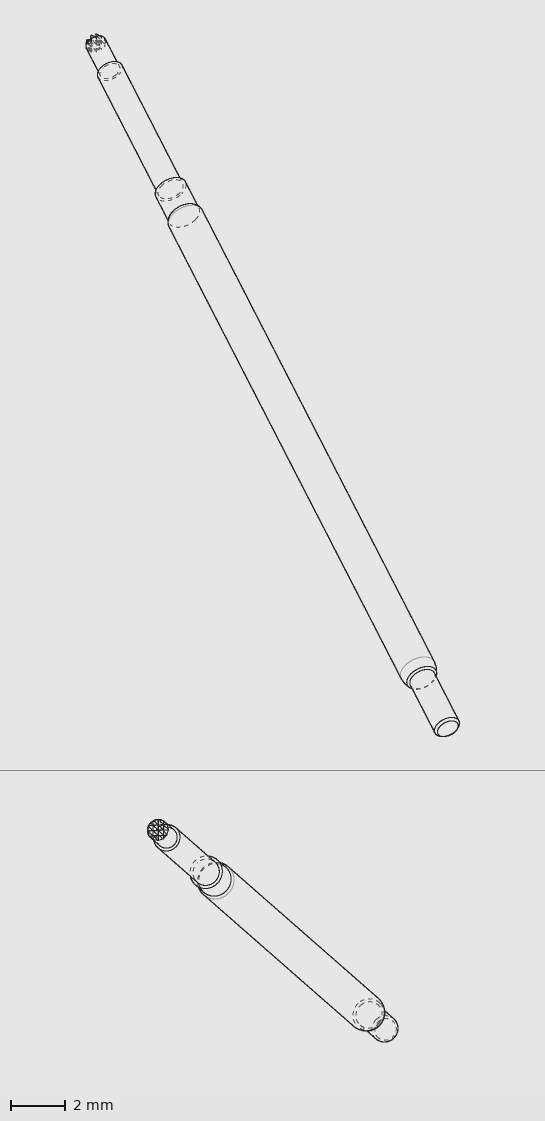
import cadquery as cq
import math

total_length = 35.81
barrel_diameter = 1.37

tip_diameter = 0.78
plunger_diameter = 0.99
collar_diameter = 1.22
tail_diameter = 0.99

tip_length = 1.66
plunger_length = 6.14
collar_length = 1.36
tail_length = 2.58
barrel_length = total_length - tip_length - plunger_length - collar_length - tail_length

tip_cone_length = 0.24
tip_end_diameter = 0.56
crown_groove_count = 3
crown_groove_pitch = 0.20
crown_groove_depth = 0.32
crown_groove_angle = 30

barrel_front_radius = 0.20
barrel_rear_radius = 0.90
barrel_shoulder_diameter = 1.18
barrel_shoulder_length = 0.06
tail_chamfer = 0.09

tip_start = -total_length / 2
plunger_start = tip_start + tip_length
collar_start = plunger_start + plunger_length
barrel_start = collar_start + collar_length
tail_start = barrel_start + barrel_length
tail_end = tail_start + tail_length

tip_radius = tip_diameter / 2
plunger_radius = plunger_diameter / 2
collar_radius = collar_diameter / 2
barrel_radius = barrel_diameter / 2
tail_radius = tail_diameter / 2


def arc_reach(radius, drop):
    """Axial length of an arc, tangent to the barrel, that falls by the given drop."""
    return math.sqrt(radius**2 - (radius - drop) ** 2)


def rounded_end_points(flat_end, direction, radius, drop):
    """Middle and end points of the arc that leaves the barrel surface at flat_end."""
    sweep = math.asin(arc_reach(radius, drop) / radius)
    centre_height = barrel_radius - radius
    return [
        (
            flat_end + direction * radius * math.sin(angle),
            centre_height + radius * math.cos(angle),
        )
        for angle in (sweep / 2, sweep)
    ]


def make_turned_body():
    """Revolve the stepped half-profile about the X axis."""
    front_drop = barrel_radius - collar_radius
    front_flat = barrel_start + arc_reach(barrel_front_radius, front_drop)
    front_middle, front_edge = rounded_end_points(front_flat, -1, barrel_front_radius, front_drop)

    rear_drop = barrel_radius - barrel_shoulder_diameter / 2
    shoulder_start = tail_start - barrel_shoulder_length
    rear_flat = shoulder_start - arc_reach(barrel_rear_radius, rear_drop)
    rear_middle, rear_edge = rounded_end_points(rear_flat, 1, barrel_rear_radius, rear_drop)

    profile = (
        cq.Workplane("XZ")
        .moveTo(tip_start, 0)
        .lineTo(tip_start, tip_end_diameter / 2)
        .lineTo(tip_start + tip_cone_length, tip_radius)
        .lineTo(plunger_start, tip_radius)
        .lineTo(plunger_start, plunger_radius)
        .lineTo(collar_start, plunger_radius)
        .lineTo(collar_start, collar_radius)
        .lineTo(*front_edge)
        .threePointArc(front_middle, (front_flat, barrel_radius))
        .lineTo(rear_flat, barrel_radius)
        .threePointArc(rear_middle, rear_edge)
        .lineTo(tail_start, tail_radius)
        .lineTo(tail_end - tail_chamfer, tail_radius)
        .lineTo(tail_end, tail_radius - tail_chamfer)
        .lineTo(tail_end, 0)
        .close()
    )
    return profile.revolve(360, (0, 0, 0), (1, 0, 0))


def make_crown_grooves(plane):
    """Row of V-shaped cutters across the tip, spaced along the second axis of the given plane."""
    half_width = crown_groove_depth * math.tan(math.radians(crown_groove_angle / 2))
    grooves = cq.Workplane(plane)
    for index in range(crown_groove_count):
        offset = (index - (crown_groove_count - 1) / 2) * crown_groove_pitch
        grooves = (
            grooves.moveTo(tip_start, offset - half_width)
            .lineTo(tip_start + crown_groove_depth, offset)
            .lineTo(tip_start, offset + half_width)
            .close()
        )
    return grooves.extrude(tip_diameter, both=True)


result = make_turned_body()
for groove_plane in ("XY", "XZ"):
    result = result.cut(make_crown_grooves(groove_plane))